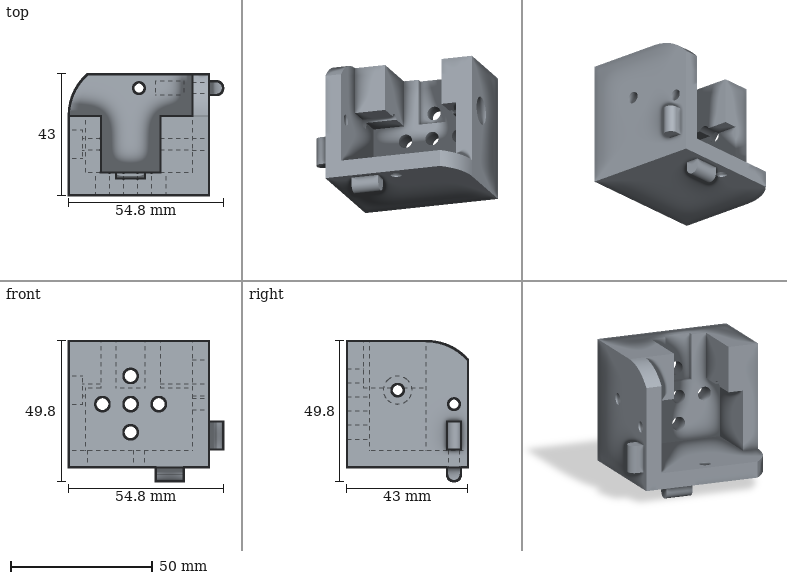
import cadquery as cq
import math

body_width = 49.8
body_height = 44.75
body_depth = 42.95
block_depth = 28.1

flange_thickness = 5.9
flange_radius = 19.7
flange_length = body_depth - block_depth

pocket_center_x = 21.95
pocket_width = 21.15
pocket_front_y = 8.0
relief_width = 10.2
relief_front_y = 5.85

chamber_top_z = 28.05

front_hole_diameter = 5.0
front_hole_spacing = 9.95
front_hole_z = body_height / 2

cross_hole_diameter = 4.3
counterbore_diameter = 10.0
counterbore_depth = 5.0
cross_hole_y = 18.0
cross_hole_z = 27.35

flange_hole_diameter = 4.0
flange_feature_y = 37.95
base_hole_x = 24.9
side_hole_z = front_hole_z
tab_length = 5.0
tab_thickness = 5.0
tab_width = 9.95
base_tab_center_x = 35.8
side_tab_center_z = 11.3


def box(x_min, x_max, y_min, y_max, z_min, z_max):
    size = (x_max - x_min, y_max - y_min, z_max - z_min)
    return cq.Workplane().box(*size, centered=False).translate((x_min, y_min, z_min))


def cylinder_x(diameter, y, z, x_min, length):
    plane = cq.Plane(origin=(x_min, y, z), xDir=(0, 1, 0), normal=(1, 0, 0))
    return cq.Workplane(plane).circle(diameter / 2).extrude(length)


def flange_outline(plane, side_length):
    """Flange outline with its rounded free corner at the far end of side_length."""
    arc_center = side_length - flange_radius

    def arc_point(angle):
        across = arc_center + flange_radius * math.cos(angle)
        return (across, block_depth + flange_radius * math.sin(angle))

    end_angle = math.asin(flange_length / flange_radius)
    return (
        cq.Workplane(plane)
        .moveTo(0, block_depth)
        .lineTo(side_length, block_depth)
        .threePointArc(arc_point(end_angle / 2), arc_point(end_angle))
        .lineTo(0, body_depth)
        .close()
    )


def make_tab(center, length_direction, width_direction):
    """Tab with a full-round tip, rooted on a flange face at center."""
    normal = cq.Vector(*width_direction)
    root = cq.Vector(*center) - normal * (tab_width / 2)
    plane = cq.Plane(origin=root.toTuple(), xDir=length_direction, normal=width_direction)
    half = tab_thickness / 2
    straight = tab_length - half
    return (
        cq.Workplane(plane)
        .moveTo(0, -half)
        .lineTo(straight, -half)
        .threePointArc((tab_length, 0), (straight, half))
        .lineTo(0, half)
        .close()
        .extrude(tab_width)
    )


block = box(0, body_width, 0, block_depth, 0, body_height)
base_plane = cq.Plane(origin=(body_width, 0, 0), xDir=(-1, 0, 0), normal=(0, 0, -1))
base_flange = flange_outline(base_plane, body_width).extrude(-flange_thickness)
side_plane = cq.Plane(origin=(body_width, 0, 0), xDir=(0, 0, 1), normal=(-1, 0, 0))
side_flange = flange_outline(side_plane, body_height).extrude(flange_thickness)
result = block.union(base_flange).union(side_flange)

result = result.cut(
    box(
        pocket_center_x - pocket_width / 2,
        pocket_center_x + pocket_width / 2,
        pocket_front_y,
        block_depth,
        flange_thickness,
        body_height,
    )
)

result = result.cut(
    box(
        pocket_center_x - relief_width / 2,
        pocket_center_x + relief_width / 2,
        relief_front_y,
        pocket_front_y,
        chamber_top_z,
        body_height,
    )
)

result = result.cut(
    box(
        flange_thickness,
        body_width - flange_thickness,
        pocket_front_y,
        block_depth,
        flange_thickness,
        chamber_top_z,
    )
)

hole_offsets = [(0, 0)]
for step in (-front_hole_spacing, front_hole_spacing):
    hole_offsets += [(step, 0), (0, step)]
front_holes = (
    cq.Workplane("XZ", origin=(pocket_center_x, 0, front_hole_z))
    .pushPoints(hole_offsets)
    .circle(front_hole_diameter / 2)
    .extrude(-pocket_front_y)
)
result = result.cut(front_holes)

result = result.cut(cylinder_x(cross_hole_diameter, cross_hole_y, cross_hole_z, 0, body_width))
result = result.cut(cylinder_x(counterbore_diameter, cross_hole_y, cross_hole_z, 0, counterbore_depth))

base_hole = (
    cq.Workplane(origin=(base_hole_x, flange_feature_y, 0))
    .circle(flange_hole_diameter / 2)
    .extrude(flange_thickness)
)
side_hole = cylinder_x(
    flange_hole_diameter,
    flange_feature_y,
    side_hole_z,
    body_width - flange_thickness,
    flange_thickness,
)
result = result.cut(base_hole).cut(side_hole)

base_tab = make_tab((base_tab_center_x, flange_feature_y, 0), (0, 0, -1), (1, 0, 0))
side_tab = make_tab((body_width, flange_feature_y, side_tab_center_z), (1, 0, 0), (0, 0, 1))
result = result.union(base_tab).union(side_tab)